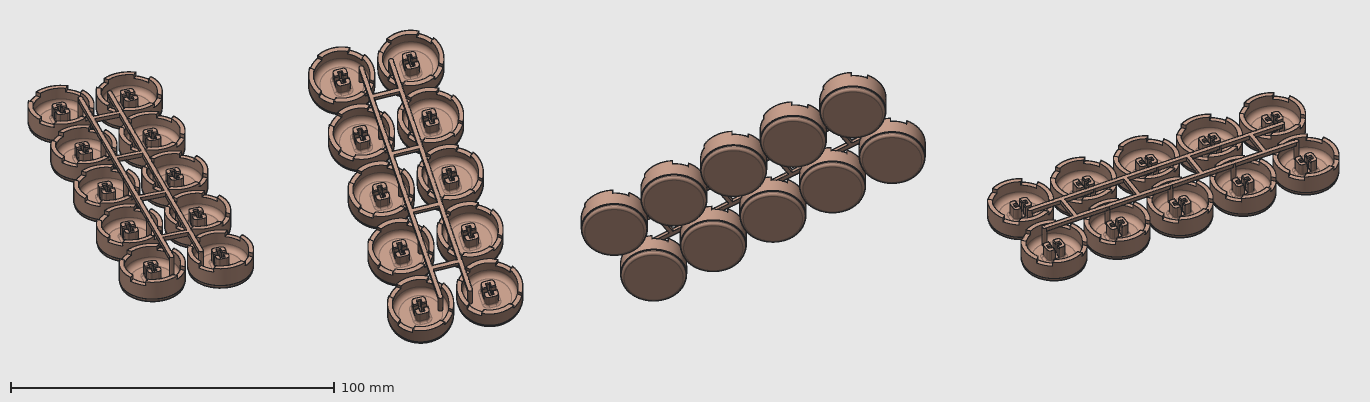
import cadquery as cq
import math

COLUMNS = 5
ROWS = 2
OVERALL_LENGTH = 108.5
OVERALL_WIDTH = 42.7
OVERALL_HEIGHT = 9.1
CAP_DIAMETER = 20.5
CAP_HEIGHT = 8.0
COLUMN_PITCH = (OVERALL_LENGTH - CAP_DIAMETER) / (COLUMNS - 1)
ROW_PITCH = (OVERALL_WIDTH - CAP_DIAMETER) / (ROWS - 1)

FOOT_INSET = 0.2
FOOT_HEIGHT = 1.4
FOOT_ROUNDING = 0.9

POCKET_DIAMETER = 17.5
FLOOR_THICKNESS = 2.0
POCKET_FILLET = 2.0

NOTCH_WIDTH = 5.1
NOTCH_DEPTH = 1.4
NOTCH_ANGLES = (45, 135)

STEM_LENGTH = 6.1
STEM_WIDTH = 4.2
STEM_CORNER = 1.0
STEM_HEIGHT = 4.7
STEM_FLARE = 0.81
CLOSED_SLOT_LENGTH = 4.0
CLOSED_SLOT_WIDTH = 1.1
THROUGH_SLOT_WIDTH = 1.3
SLOT_LEAD_IN = 0.2
SLOT_LEAD_IN_DEPTH = 0.5

PIN_DIAMETER = 1.5
BAR_WIDTH = 1.4
BAR_THICKNESS = 1.4
BAR_SPACING = 9.5

SELECTION_MARGIN = 0.1


def cap_shell():
    foot = cq.Workplane("XY").circle(CAP_DIAMETER / 2 - FOOT_INSET).extrude(FOOT_HEIGHT)
    foot = foot.faces("<Z").edges().fillet(FOOT_ROUNDING)
    body = (
        cq.Workplane("XY")
        .workplane(offset=FOOT_HEIGHT)
        .circle(CAP_DIAMETER / 2)
        .extrude(CAP_HEIGHT - FOOT_HEIGHT)
        .faces("<Z")
        .edges()
        .chamfer(FOOT_INSET)
    )
    pocket = (
        cq.Workplane("XY")
        .workplane(offset=FLOOR_THICKNESS)
        .circle(POCKET_DIAMETER / 2)
        .extrude(CAP_HEIGHT - FLOOR_THICKNESS)
        .faces("<Z")
        .edges()
        .fillet(POCKET_FILLET)
    )
    shell = foot.union(body).cut(pocket)
    for angle in NOTCH_ANGLES:
        notch_pair = (
            cq.Workplane("XY")
            .box(2 * CAP_DIAMETER, NOTCH_WIDTH, NOTCH_DEPTH, centered=(True, True, False))
            .rotate((0, 0, 0), (0, 0, 1), angle)
            .translate((0, 0, CAP_HEIGHT - NOTCH_DEPTH))
        )
        shell = shell.cut(notch_pair)
    return shell


def stem():
    base_diameter = POCKET_DIAMETER - 2 * POCKET_FILLET
    base_bottom = FLOOR_THICKNESS / 2
    base = cq.Workplane("XY").workplane(offset=base_bottom).circle(base_diameter / 2).extrude(base_bottom)
    post = (
        cq.Workplane("XY")
        .box(STEM_LENGTH, STEM_WIDTH, STEM_HEIGHT, centered=(True, True, False))
        .edges("|Z")
        .fillet(STEM_CORNER)
        .translate((0, 0, FLOOR_THICKNESS))
    )
    flare_edges = cq.selectors.BoxSelector(
        (-STEM_LENGTH, -STEM_WIDTH, base_bottom + SELECTION_MARGIN),
        (STEM_LENGTH, STEM_WIDTH, FLOOR_THICKNESS + SELECTION_MARGIN),
    )
    post = base.union(post).edges(flare_edges).fillet(STEM_FLARE)
    stem_top = FLOOR_THICKNESS + STEM_HEIGHT
    slot_bottom = FLOOR_THICKNESS + STEM_FLARE
    lead_in_angle = math.degrees(math.atan2(SLOT_LEAD_IN, SLOT_LEAD_IN_DEPTH))
    through_length = STEM_WIDTH + 2 * STEM_FLARE
    for length, width in ((CLOSED_SLOT_LENGTH, CLOSED_SLOT_WIDTH), (THROUGH_SLOT_WIDTH, through_length)):
        slot = (
            cq.Workplane("XY")
            .box(length, width, STEM_HEIGHT, centered=(True, True, False))
            .translate((0, 0, slot_bottom))
        )
        lead_in = (
            cq.Workplane("XY")
            .workplane(offset=stem_top)
            .rect(length + 2 * SLOT_LEAD_IN, width + 2 * SLOT_LEAD_IN)
            .extrude(-SLOT_LEAD_IN_DEPTH, taper=lead_in_angle)
        )
        post = post.cut(slot).cut(lead_in)
    return post


def bar(length, width, x, y):
    return (
        cq.Workplane("XY")
        .box(length, width, BAR_THICKNESS, centered=(True, True, False))
        .translate((x, y, OVERALL_HEIGHT - BAR_THICKNESS))
    )


def pin(x, y):
    root = FLOOR_THICKNESS / 2
    return (
        cq.Workplane("XY")
        .workplane(offset=root)
        .center(x, y)
        .circle(PIN_DIAMETER / 2)
        .extrude(OVERALL_HEIGHT - root)
    )


def spread(count, pitch):
    return [(i - (count - 1) / 2) * pitch for i in range(count)]


column_centres = spread(COLUMNS, COLUMN_PITCH)
row_centres = spread(ROWS, ROW_PITCH)
cross_bar_centres = spread(COLUMNS - 1, COLUMN_PITCH)
long_bar_centres = spread(ROWS, BAR_SPACING)
long_bar_length = (COLUMNS - 1) * COLUMN_PITCH

result = cq.Workplane("XY")
for y in long_bar_centres:
    result = result.add(bar(long_bar_length, BAR_WIDTH, 0, y))
    for x in column_centres:
        result = result.add(pin(x, y))
for x in cross_bar_centres:
    result = result.add(bar(BAR_WIDTH, BAR_SPACING, x, 0))

cap = cap_shell().union(stem())
for x in column_centres:
    for y in row_centres:
        result = result.add(cap.translate((x, y, 0)))

result = result.combine()